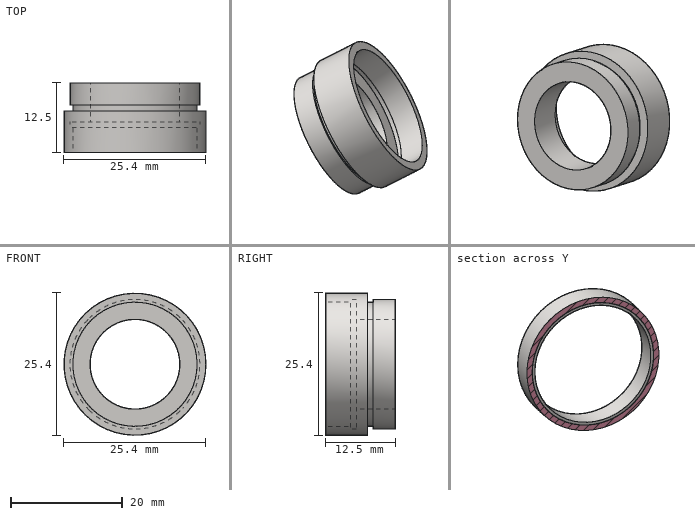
import cadquery as cq

length = 12.5
body_diameter = 25.4
body_length = 7.5
neck_diameter = 22.22
neck_length = 1.0
collar_diameter = 23.22
bore_diameter = 16.0
cup_diameter = 22.2
cup_depth = 5.49
relief_diameter = 23.22
relief_width = 1.0

front_y = -length / 2
neck_y = front_y + body_length
collar_y = neck_y + neck_length
collar_length = length - body_length - neck_length


def cylinder(diameter, start_y, cylinder_length):
    """Cylinder on the Y axis running from start_y toward +Y."""
    plane = cq.Workplane("XZ", origin=(0, start_y, 0))
    return plane.circle(diameter / 2).extrude(-cylinder_length)


body = cylinder(body_diameter, front_y, body_length)
neck = cylinder(neck_diameter, neck_y, neck_length)
collar = cylinder(collar_diameter, collar_y, collar_length)
cup = cylinder(cup_diameter, front_y, cup_depth)
relief = cylinder(relief_diameter, front_y + cup_depth - relief_width, relief_width)
bore = cylinder(bore_diameter, front_y, length)

result = body.union(neck).union(collar).cut(cup).cut(relief).cut(bore)